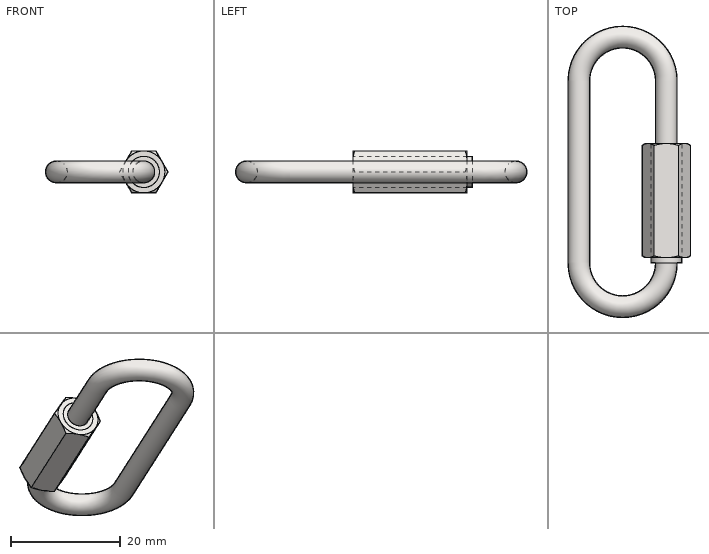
import cadquery as cq
import math

link_length = 53.4
rod_diameter = 4.0
bend_radius = 8.0

nut_flats = 7.7
nut_length = 20.95
nut_chamfer_angle = 30.0

thread_diameter = 5.7
thread_exposed = 0.95

rod_radius = rod_diameter / 2
bend_center_y = link_length / 2 - bend_radius - rod_radius
thread_start_y = -bend_center_y
nut_start_y = thread_start_y + thread_exposed
thread_length = thread_exposed + nut_length

nut_corners = nut_flats / math.cos(math.radians(30))
chamfer_height = (nut_corners - nut_flats) / 2 * math.tan(math.radians(nut_chamfer_angle))


def leg_plane(y):
    """Plane across the +X leg at the given Y, with its normal along +Y."""
    return cq.Plane(origin=(bend_radius, y, 0), xDir=(1, 0, 0), normal=(0, 1, 0))


def make_link():
    leg_length = 2 * bend_center_y
    right_leg = cq.Workplane(leg_plane(-bend_center_y)).circle(rod_radius).extrude(leg_length)
    left_leg = right_leg.mirror("YZ")
    top_bend = (
        cq.Workplane(leg_plane(bend_center_y))
        .circle(rod_radius)
        .revolve(180, (-bend_radius, 0, 0), (-bend_radius, -1, 0))
    )
    bottom_bend = top_bend.mirror("XZ")
    thread = (
        cq.Workplane(leg_plane(thread_start_y)).circle(thread_diameter / 2).extrude(thread_length)
    )
    return right_leg.union(left_leg).union(top_bend).union(bottom_bend).union(thread)


def make_nut():
    blank = cq.Workplane(leg_plane(nut_start_y)).polygon(6, nut_corners).extrude(nut_length)
    envelope = (
        cq.Workplane(leg_plane(nut_start_y))
        .circle(nut_corners / 2)
        .extrude(nut_length)
        .faces("<Y or >Y")
        .chamfer(chamfer_height, (nut_corners - nut_flats) / 2)
    )
    bore = cq.Workplane(leg_plane(nut_start_y)).circle(thread_diameter / 2).extrude(nut_length)
    return blank.intersect(envelope).cut(bore)


link = make_link()
nut = make_nut()

result = cq.Compound.makeCompound([link.val(), nut.val()])